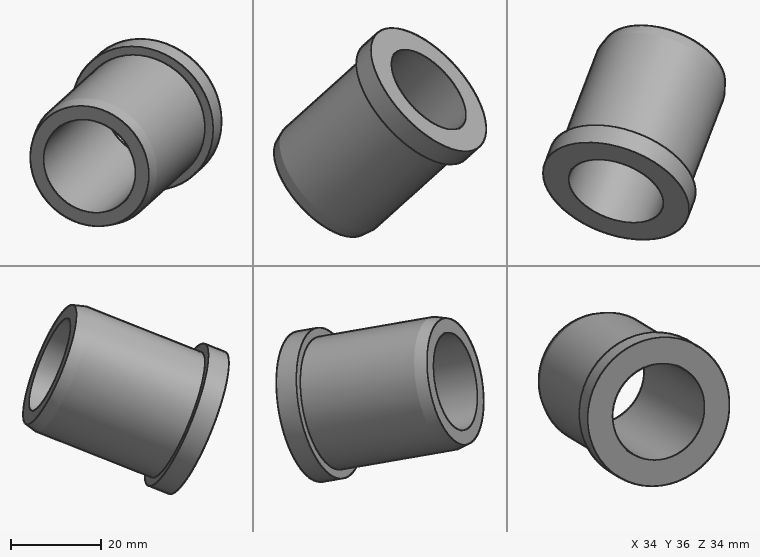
import cadquery as cq
import math

total_length = 36.0
flange_diameter = 34.0
flange_thickness = 5.0
body_diameter = 30.0
bore_diameter = 22.0
lead_in_length = 2.8
lead_in_angle = 15.0

flange_radius = flange_diameter / 2
body_radius = body_diameter / 2
bore_radius = bore_diameter / 2
tip_radius = body_radius - lead_in_length * math.tan(math.radians(lead_in_angle))
flange_start = total_length - flange_thickness

half_section = (
    cq.Workplane("XY")
    .moveTo(bore_radius, 0)
    .lineTo(tip_radius, 0)
    .lineTo(body_radius, lead_in_length)
    .lineTo(body_radius, flange_start)
    .lineTo(flange_radius, flange_start)
    .lineTo(flange_radius, total_length)
    .lineTo(bore_radius, total_length)
    .close()
)

result = half_section.revolve(360, (0, 0, 0), (0, 1, 0))